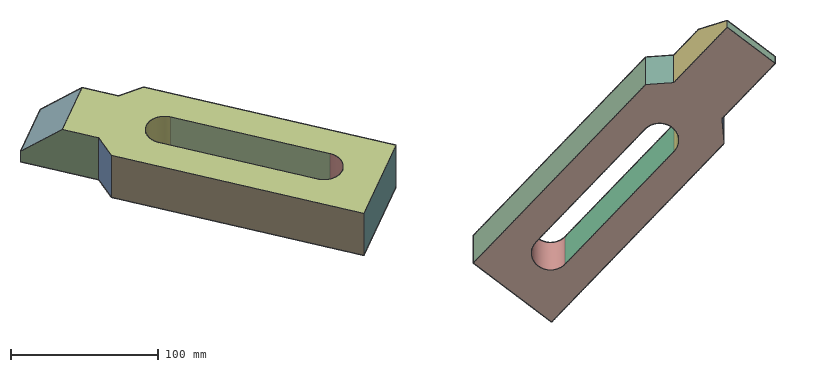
import cadquery as cq

length = 250.0
width = 70.0
height = 40.0

nose_width = 43.0
shoulder_end = 69.5
shoulder_run = (width - nose_width) / 2
shoulder_start = shoulder_end - shoulder_run

tip_height = 10.0
bevel = height - tip_height

slot_width = 26.0
slot_start = 83.0
slot_length = 140.0
slot_center = slot_start + slot_length / 2


def clamp_body():
    """Plan outline, symmetric about the X axis, extruded to full height."""
    half_outline = [
        (0, 0),
        (0, nose_width / 2),
        (shoulder_start, nose_width / 2),
        (shoulder_end, width / 2),
        (length, width / 2),
        (length, 0),
    ]
    return cq.Workplane("XY").polyline(half_outline).mirrorX().extrude(height)


def nose_bevel():
    """Triangular prism removed from the top of the tip."""
    corners = [(0, tip_height), (bevel, height), (0, height)]
    return cq.Workplane("XZ").polyline(corners).close().extrude(width / 2, both=True)


def bolt_slot():
    """Long slot for the clamping bolt, right through the body."""
    return cq.Workplane("XY").center(slot_center, 0).slot2D(slot_length, slot_width).extrude(height)


result = clamp_body().cut(nose_bevel()).cut(bolt_slot())